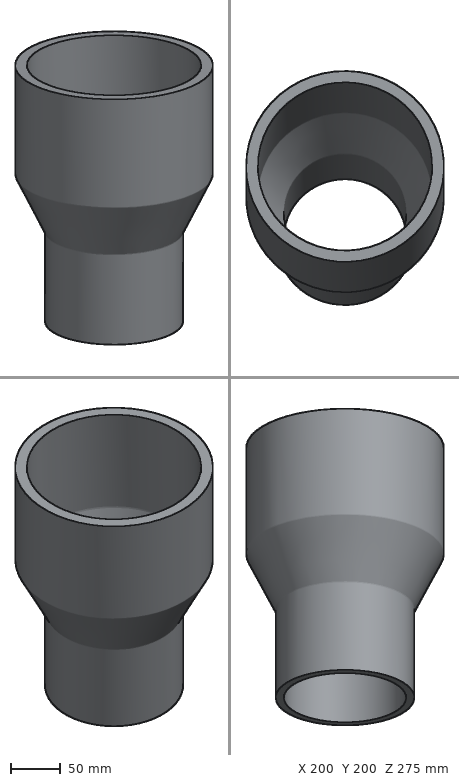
import cadquery as cq

total_height = 275.0
large_outer_diameter = 200.0
large_inner_diameter = 176.0
small_outer_diameter = 140.0
small_inner_diameter = 123.5

small_end_height = 97.0
large_end_height = 116.5
cone_top = total_height - large_end_height

outer_blend_radius = 2.5
bore_blend_radius = 5.0


def stepped_body(small_diameter, large_diameter, blend_radius):
    """Solid of revolution: small cylinder, cone, then large cylinder, with rounded junctions."""
    small_radius = small_diameter / 2
    large_radius = large_diameter / 2
    profile = (
        cq.Workplane("XZ")
        .moveTo(0, 0)
        .lineTo(small_radius, 0)
        .lineTo(small_radius, small_end_height)
        .lineTo(large_radius, cone_top)
        .lineTo(large_radius, total_height)
        .lineTo(0, total_height)
        .close()
    )
    body = profile.revolve(360, (0, 0, 0), (0, 1, 0))
    return body.edges("%CIRCLE").edges("not(<Z or >Z)").fillet(blend_radius)


outer_body = stepped_body(small_outer_diameter, large_outer_diameter, outer_blend_radius)
bore = stepped_body(small_inner_diameter, large_inner_diameter, bore_blend_radius)

result = outer_body.cut(bore)